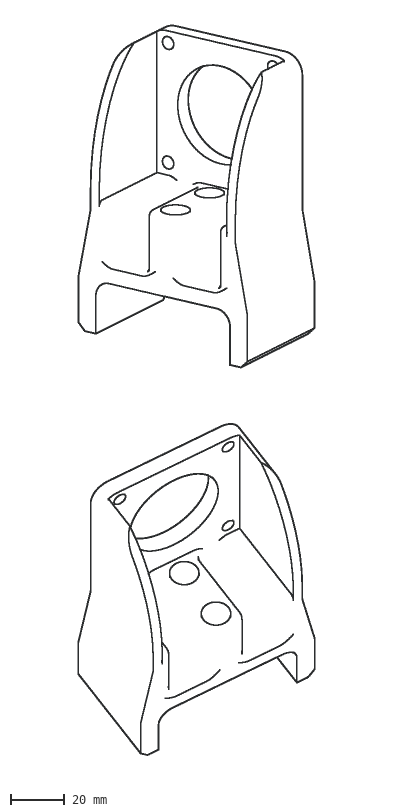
import cadquery as cq

height = 109.5
depth = 45.0
foot_half_width = 38.0
tower_half_width = 32.5
lower_knee_z = 21.0
upper_knee_z = 48.6
top_corner_radius = 8.0
foot_chamfer = 3.0
back_edge_radius = 1.1

gap_half_width = 30.1
gap_height = lower_knee_z
gap_corner_radius = 6.0

bay_half_width = 28.6
plate_thickness = 7.0
plate_face_y = depth - plate_thickness
bay_floor_z = 27.0

curve_start_z = 56.9
curve_semi_depth = 37.5
curve_semi_height = 55.8

motor_axis_z = 81.1
motor_pilot_diameter = 38.5
motor_hole_diameter = 5.0
motor_hole_spacing = 47.2

rib_top_z = 52.6
slot_offset = 16.0
rib_corner_radius = 5.0
slot_half_width = bay_half_width - slot_offset - rib_corner_radius
rib_top_fillet = 2.0
rib_base_fillet = 3.0

bolt_diameter = 6.1
counterbore_diameter = 11.0
counterbore_depth = 20.0
bolt_ys = (8.3, 30.8)

overrun = 13.1
pick_margin = 0.1


def centred_box(half_width, y_start, y_end, z_start, z_end):
    """Box symmetric about x = 0 between the given y and z limits."""
    return cq.Workplane("XY").box(
        2 * half_width, y_end - y_start, z_end - z_start, centered=(True, False, False)
    ).translate((0, y_start, z_start))


def make_shell():
    """Outer silhouette, rounded along the edge of the back, without the gap or bay."""
    half_outline = [
        (foot_half_width - foot_chamfer, 0),
        (foot_half_width, foot_chamfer),
        (foot_half_width, lower_knee_z),
        (tower_half_width, upper_knee_z),
        (tower_half_width, height),
    ]
    mirrored = [(-x, z) for x, z in reversed(half_outline)]
    shell = cq.Workplane("XZ").polyline(half_outline + mirrored).close().extrude(-depth)
    shell = shell.edges("|Y").edges(">Z").fillet(top_corner_radius)
    return shell.faces(">Y").edges().fillet(back_edge_radius)


def make_foot_gap():
    """Channel between the feet, rounded at its upper corners."""
    gap = centred_box(gap_half_width, 0, depth, 0, gap_height)
    return gap.edges("|Y").edges(">Z").fillet(gap_corner_radius)


def make_front_trim():
    """Region in front of the elliptical edge of the side walls."""
    ellipse = (
        cq.Workplane("YZ")
        .center(curve_semi_depth, curve_start_z)
        .ellipse(curve_semi_depth, curve_semi_height)
        .extrude(foot_half_width, both=True)
    )
    corner = centred_box(foot_half_width, 0, curve_semi_depth, curve_start_z, height + overrun)
    return corner.cut(ellipse)


def make_ribs():
    """Three ribs with rounded corners and a filleted base, trimmed to the bay."""
    far_x = bay_half_width + overrun
    far_y = plate_face_y + overrun
    ribs = centred_box(far_x, 0, far_y, bay_floor_z, rib_top_z)
    for side in (-1, 1):
        slot = centred_box(slot_half_width, 0, plate_face_y, bay_floor_z, rib_top_z)
        ribs = ribs.cut(slot.translate((side * slot_offset, 0, 0)))
    slot_corners = cq.selectors.BoxSelector(
        (-bay_half_width, -pick_margin, bay_floor_z), (bay_half_width, plate_face_y + pick_margin, rib_top_z)
    )
    ribs = ribs.edges("|Z").edges(slot_corners).fillet(rib_corner_radius)
    ribs = ribs.faces(">Z").edges().fillet(rib_top_fillet)

    base = centred_box(far_x + overrun, -overrun, far_y + overrun, gap_height, bay_floor_z)
    base_edges = cq.selectors.BoxSelector(
        (-far_x - pick_margin, -pick_margin, bay_floor_z - pick_margin),
        (far_x + pick_margin, far_y + pick_margin, bay_floor_z + pick_margin),
    )
    ribs = base.union(ribs).edges(base_edges).fillet(rib_base_fillet)
    return ribs.intersect(centred_box(bay_half_width, 0, plate_face_y, gap_height, rib_top_z))


def drill_motor_plate(body):
    """Pilot opening and four screw holes through the back plate."""
    plate = cq.Workplane("XZ", origin=(0, 0, motor_axis_z))
    pilot = plate.circle(motor_pilot_diameter / 2).extrude(-depth)
    screws = (
        plate.rect(motor_hole_spacing, motor_hole_spacing, forConstruction=True)
        .vertices()
        .circle(motor_hole_diameter / 2)
        .extrude(-depth)
    )
    drills = pilot.union(screws)
    return body.cut(drills.intersect(centred_box(foot_half_width, plate_face_y, depth, 0, height)))


def drill_bolts(body):
    """Counterbored holes down through the middle rib."""
    return (
        body.copyWorkplane(cq.Workplane("XY", origin=(0, 0, rib_top_z)))
        .pushPoints([(0, y) for y in bolt_ys])
        .cboreHole(bolt_diameter, counterbore_diameter, counterbore_depth, rib_top_z)
    )


bay = centred_box(bay_half_width, 0, plate_face_y, bay_floor_z, height)
result = make_shell().cut(make_foot_gap()).cut(make_front_trim()).cut(bay)
result = result.union(make_ribs())
result = drill_motor_plate(result)
result = drill_bolts(result)